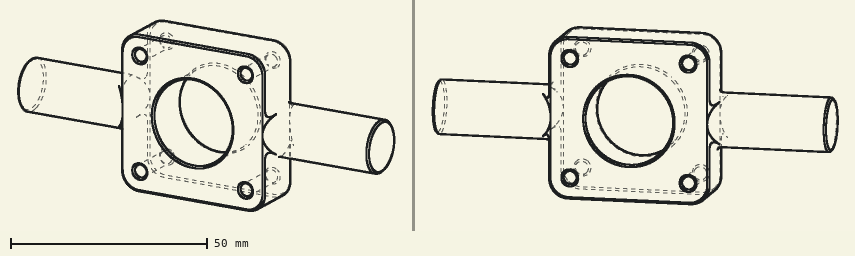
import cadquery as cq

length = 103.0
thickness = 14.0
block_side = 42.0
corner_radius = 5.0
edge_break = 0.5
bore_diameter = 23.0
screw_diameter = 3.4
screw_pitch = 31.0
root_fillet = 2.1

half_side = block_side / 2
shaft_embed = 5.2
shaft_length = length / 2 - half_side + shaft_embed


def make_block():
    """Square block with a bore and four screw holes along Y, all mouths and rims chamfered."""
    block = cq.Workplane("XZ").rect(block_side, block_side).extrude(thickness / 2, both=True)
    block = block.edges("|Y").fillet(corner_radius)
    block = block.faces("<Y").workplane(centerOption="CenterOfBoundBox").hole(bore_diameter)
    block = (
        block.faces("<Y")
        .workplane(centerOption="CenterOfBoundBox")
        .rect(screw_pitch, screw_pitch, forConstruction=True)
        .vertices()
        .hole(screw_diameter)
    )
    return block.faces("<Y or >Y").edges().chamfer(edge_break)


def make_shaft(side):
    """Round shaft as thick as the block, pointing to -X or +X, with a chamfered free end."""
    start = side * (half_side - shaft_embed)
    shaft = cq.Workplane("YZ", origin=(start, 0, 0)).circle(thickness / 2).extrude(side * shaft_length)
    return shaft.faces(">X" if side > 0 else "<X").edges().chamfer(edge_break)


def fillet_shaft_root(body, side):
    """Round the two arcs where a shaft meets the flat side of the block."""
    on_side_face = cq.selectors.BoxSelector(
        (side * half_side - edge_break / 2, -thickness, -thickness / 2),
        (side * half_side + edge_break / 2, thickness, thickness / 2),
    )
    return body.edges(on_side_face).edges("%CIRCLE").fillet(root_fillet)


result = make_block()
for side in (-1, 1):
    result = result.union(make_shaft(side))
for side in (-1, 1):
    result = fillet_shaft_root(result, side)